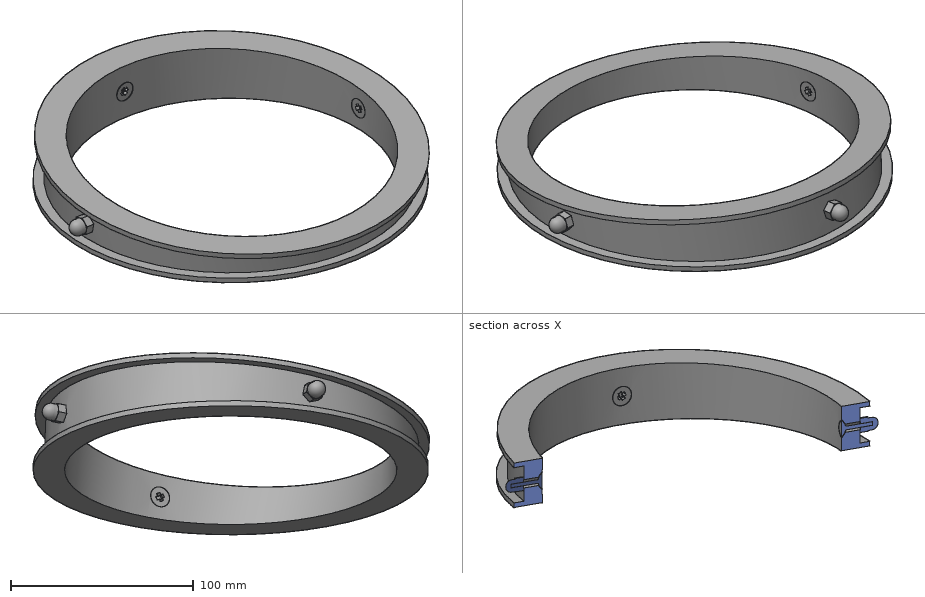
import cadquery as cq
import math

end_angle = 5.0
upper_center_height = 26.0
inner_diameter = 182.2
outer_diameter = 205.1
flange_diameter = 217.0
flange_thickness = 3.0

nut_tip_radius = 114.5
fastener_center_x = 0.35
hex_width = 9.6
dome_diameter = 9.5
hex_height = 4.8
screw_diameter = 6.0
clearance_diameter = 7.0
head_diameter = 11.5
countersink_angle = 90.0
thread_reach = 7.8
recess_width = 4.8
recess_slot = 2.0
recess_turn = 60.0
recess_depth = 3.5

pipe_lean = end_angle / 2
upper_center_x = upper_center_height * math.tan(math.radians(pipe_lean))
trim_size = 2 * flange_diameter

inner_radius = inner_diameter / 2
outer_radius = outer_diameter / 2
dome_radius = dome_diameter / 2
corner_diameter = hex_width / math.cos(math.pi / 6)
head_radius = head_diameter / 2
screw_radius = screw_diameter / 2
head_height = (head_radius - screw_radius) / math.tan(math.radians(countersink_angle / 2))

fasteners = [(180.0, 17.0), (270.0, -9.0), (90.0, 17.0)]


def tilted_plane(center_x, center_height, tilt):
    """Plane centred on Y = 0, with its normal tilted from Z toward X."""
    turn = math.radians(tilt)
    return cq.Plane(
        origin=(center_x, 0, center_height),
        xDir=(math.cos(turn), 0, -math.sin(turn)),
        normal=(math.sin(turn), 0, math.cos(turn)),
    )


middle_plane = tilted_plane(upper_center_x / 2, upper_center_height / 2, pipe_lean)
fastener_plane = tilted_plane(fastener_center_x, upper_center_height / 2, pipe_lean)
upper_plane = tilted_plane(upper_center_x, upper_center_height, end_angle)


def leaning_bar(diameter):
    """Round bar along the pipe axis, reaching past both ends of the pipe."""
    return cq.Workplane(middle_plane).circle(diameter / 2).extrude(trim_size, both=True)


def space_between_ends():
    """Everything above the level lower end and below the tilted upper end."""
    above_lower = cq.Workplane("XY").circle(trim_size).extrude(trim_size)
    below_upper = cq.Workplane(upper_plane).circle(trim_size).extrude(-trim_size)
    return above_lower.intersect(below_upper)


def along_fastener(angle):
    """Plane at the pipe's middle, whose normal points out along a fastener's axis."""
    turn = math.radians(angle)
    outward = fastener_plane.xDir * math.cos(turn) + fastener_plane.yDir * math.sin(turn)
    return cq.Plane(origin=fastener_plane.origin, xDir=fastener_plane.zDir, normal=outward)


def turned_solid(outline, plane):
    """Revolve a closed (radius, distance) outline about the normal of a fastener plane."""
    turned = outline.revolve(360, (0, 0, 0), (0, 1, 0))
    return cq.Workplane(turned.val().moved(cq.Location(plane)))


def countersink(plane):
    """Cone that seats a screw head, with a straight lead-in from the middle of the pipe."""
    outline = [
        (0, 0),
        (head_radius, 0),
        (head_radius, inner_radius),
        (screw_radius, inner_radius + head_height),
        (0, inner_radius + head_height),
    ]
    return turned_solid(cq.Workplane("XZ").polyline(outline).close(), plane)


def make_ring():
    """Pipe and its two flanges, with the countersunk screw holes."""
    lower_flange = cq.Workplane("XY").circle(flange_diameter / 2).extrude(flange_thickness)
    upper_flange = cq.Workplane(upper_plane).circle(flange_diameter / 2).extrude(-flange_thickness)
    pipe = leaning_bar(outer_diameter).intersect(space_between_ends())
    ring = pipe.union(lower_flange).union(upper_flange).cut(leaning_bar(inner_diameter))
    for direction, _ in fasteners:
        plane = along_fastener(direction)
        bore = cq.Workplane(plane).circle(clearance_diameter / 2).extrude(nut_tip_radius)
        ring = ring.cut(bore).cut(countersink(plane))
    return ring


def make_screw(direction):
    """Countersunk screw with its head flush with the inner wall."""
    plane = along_fastener(direction)
    outline = [
        (0, inner_radius),
        (head_radius, inner_radius),
        (screw_radius, inner_radius + head_height),
        (screw_radius, outer_radius + thread_reach),
        (0, outer_radius + thread_reach),
    ]
    screw = turned_solid(cq.Workplane("XZ").polyline(outline).close(), plane)
    face = cq.Workplane(plane).workplane(offset=inner_radius).transformed(rotate=(0, 0, recess_turn))
    for slot in ((recess_width, recess_slot), (recess_slot, recess_width)):
        screw = screw.cut(face.rect(*slot).extrude(recess_depth))
    return screw


def make_cap_nut(direction, hex_turn):
    """Domed hexagon nut standing on the outer wall, with a blind hole for the screw."""
    plane = along_fastener(direction)
    base = cq.Workplane(plane).workplane(offset=outer_radius)
    hexagon = base.transformed(rotate=(0, 0, hex_turn)).polygon(6, corner_diameter).extrude(hex_height)
    dome_base = nut_tip_radius - dome_radius
    cap_outline = (
        cq.Workplane("XZ")
        .moveTo(0, outer_radius)
        .lineTo(dome_radius, outer_radius)
        .lineTo(dome_radius, dome_base)
        .radiusArc((0, nut_tip_radius), -dome_radius)
        .close()
    )
    thread = base.circle(screw_radius).extrude(thread_reach)
    return hexagon.union(turned_solid(cap_outline, plane)).cut(thread)


ring = make_ring()
screws = [make_screw(direction) for direction, _ in fasteners]
cap_nuts = [make_cap_nut(direction, hex_turn) for direction, hex_turn in fasteners]

result = cq.Compound.makeCompound(
    [ring.val(), *[screw.val() for screw in screws], *[nut.val() for nut in cap_nuts]]
)